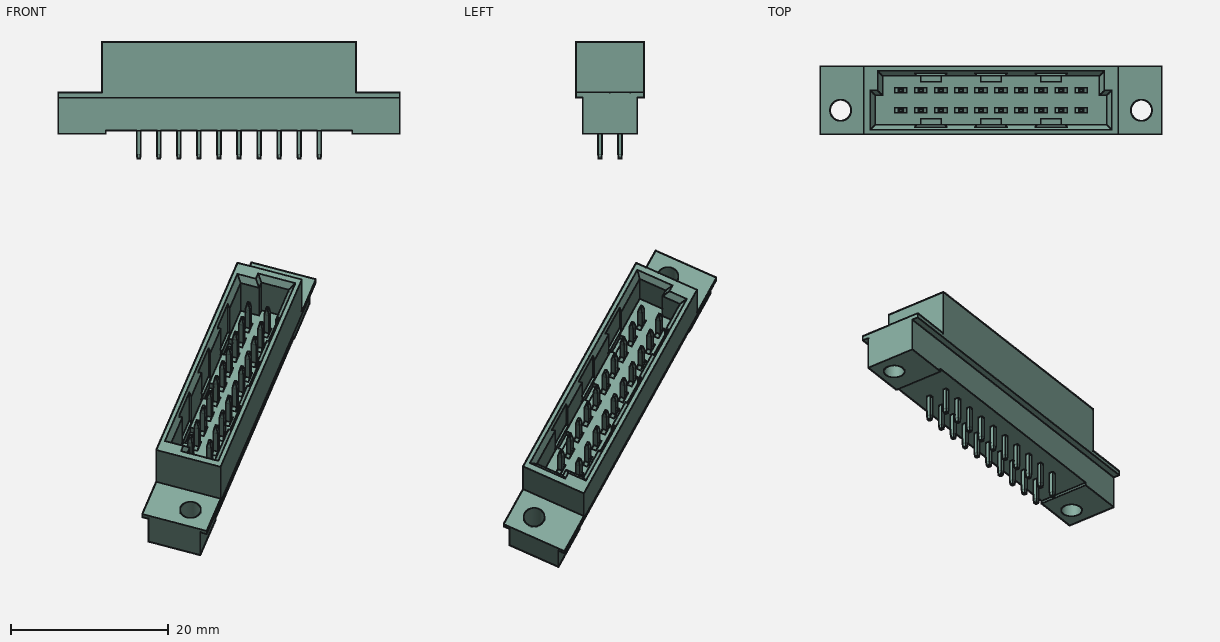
import cadquery as cq


flange_length = 43.3
flange_width = 8.6
flange_thickness = 0.65
base_width = 6.93
base_depth = 5.25
relief_length = 31.18
relief_depth = 0.4
shroud_length = 32.2
shroud_height = 6.4

cavity_front_half = 14.65
cavity_rear_half = 13.73
cavity_half_width = 3.07
key_step_y = 0.6
lead_in_width = 0.65
lead_in_depth = 0.82

pins_per_row = 10
pin_span = 22.85
pin_pitch = pin_span / (pins_per_row - 1)
upper_pin_size = 0.6
upper_pin_height = 4.9
upper_taper_height = 0.95
upper_tip_length = 0.45
upper_tip_width = 0.25
lower_pin_size = 0.5
lower_pin_end = -8.4
lower_taper_height = 0.55
lower_tip_size = 0.4
shoulder_length = 1.55
shoulder_height = 0.3

slot_spacing = 3 * pin_pitch
slot_mouth_length = 3.55
slot_back_length = 4.05
slot_depth = 0.35
slot_floor = 0.4
pocket_length = 2.6
pocket_width = 0.75
pocket_depth = 1.0

hole_diameter = 2.65
hole_spacing = 38.1
pin_row_y = pin_pitch / 2
hole_y = -pin_row_y


def block(length, width, bottom, top, x=0.0, y=0.0):
    """Box centred on (x, y), between two heights."""
    return cq.Workplane("XY", origin=(x, y, bottom)).rect(length, width).extrude(top - bottom)


def frustum(bottom_size, top_size, bottom, top, x, y):
    """Tapered block between two centred rectangles."""
    return (
        cq.Workplane("XY", origin=(x, y, bottom))
        .rect(*bottom_size)
        .workplane(offset=top - bottom)
        .rect(*top_size)
        .loft(ruled=True)
    )


def cavity_outline(growth, height):
    """Keyed cavity outline at a height, with every wall moved outward by growth."""
    front = cavity_front_half + growth
    rear = cavity_rear_half + growth
    edge = cavity_half_width + growth
    step = key_step_y + growth
    return cq.Workplane("XY", origin=(0, 0, height)).polyline(
        [
            (-front, -edge),
            (front, -edge),
            (front, step),
            (rear, step),
            (rear, edge),
            (-rear, edge),
            (-rear, step),
            (-front, step),
        ]
    ).close()


def housing():
    """Flange, base with a raised underside, shroud and mounting holes."""
    body = block(flange_length, flange_width, -flange_thickness, 0)
    body = body.union(block(flange_length, base_width, -base_depth, -flange_thickness))
    body = body.union(block(shroud_length, flange_width, 0, shroud_height))
    body = body.cut(block(relief_length, base_width, -base_depth, relief_depth - base_depth))
    for side in (-1, 1):
        hole = cq.Workplane("XY", origin=(side * hole_spacing / 2, hole_y, -base_depth))
        body = body.cut(hole.circle(hole_diameter / 2).extrude(base_depth))
    return body


def cavity():
    """Straight cavity with a sloped lead-in around its mouth."""
    lead_in_bottom = shroud_height - lead_in_depth
    straight = cavity_outline(0, 0).extrude(shroud_height)
    mouth = cq.Solid.makeLoft(
        [
            cavity_outline(0, lead_in_bottom).wire().val(),
            cavity_outline(lead_in_width, shroud_height).wire().val(),
        ],
        True,
    )
    return straight.union(cq.Workplane(mouth))


def wall_slot(x, side):
    """Dovetail slot in one long wall, with its floor pocket."""
    wall = side * cavity_half_width
    back = side * (cavity_half_width + slot_depth)
    slot = (
        cq.Workplane("XY", origin=(x, 0, slot_floor))
        .polyline(
            [
                (-slot_mouth_length / 2, wall),
                (slot_mouth_length / 2, wall),
                (slot_back_length / 2, back),
                (-slot_back_length / 2, back),
            ]
        )
        .close()
        .extrude(shroud_height - slot_floor)
    )
    pocket_y = wall - side * pocket_width / 2
    return slot.union(block(pocket_length, pocket_width, -pocket_depth, 0, x, pocket_y))


def pin(x, y):
    """Contact pin: pointed upper post, sloped shoulders on the floor and a solder tail."""
    upper_square = (upper_pin_size, upper_pin_size)
    lower_square = (lower_pin_size, lower_pin_size)
    upper_taper = upper_pin_height - upper_taper_height
    lower_taper = lower_pin_end + lower_taper_height
    root = -base_depth / 2

    post = block(*upper_square, root, upper_taper, x, y)
    point = frustum(
        upper_square, (upper_tip_length, upper_tip_width), upper_taper, upper_pin_height, x, y
    )
    shoulders = frustum((shoulder_length, upper_pin_size), upper_square, 0, shoulder_height, x, y)
    tail = block(*lower_square, lower_taper, root, x, y)
    tail_point = frustum(
        (lower_tip_size, lower_tip_size), lower_square, lower_pin_end, lower_taper, x, y
    )
    return post.union(point).union(shoulders).union(tail).union(tail_point)


result = housing().cut(cavity())

for column in (-1, 0, 1):
    for wall_side in (-1, 1):
        result = result.cut(wall_slot(column * slot_spacing, wall_side))

first_pin_x = -pin_span / 2
for index in range(pins_per_row):
    for row_side in (-1, 1):
        result = result.union(pin(first_pin_x + index * pin_pitch, row_side * pin_row_y))